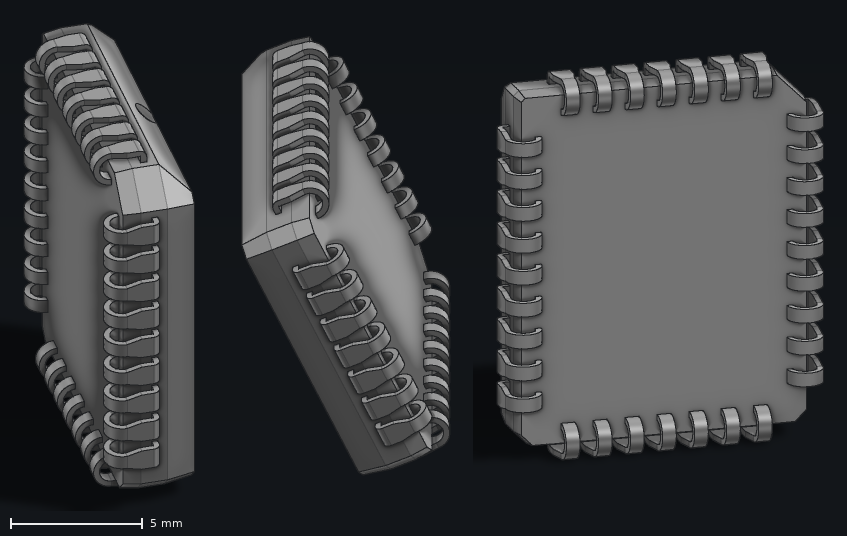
import cadquery as cq
import math


OVERALL_X = 12.58
OVERALL_Z = 15.12
BACK_Y = 3.55

PITCH = 1.27
LEADS_PER_LONG_SIDE = 9
LEADS_PER_SHORT_SIDE = 7
LEAD_REACH = 0.53
LEAD_THICKNESS = 0.24
LEAD_WIDTH = 0.83
FOOT_WIDTH = 0.55
FOOT_RADIUS = 0.71
SHOULDER_RADIUS = 0.3
SHOULDER_Y = 2.05
NARROWING_START_Y = 1.29
ROOT_DEPTH = 0.15

BODY_HALF_X = OVERALL_X / 2 - LEAD_REACH
BODY_HALF_Z = OVERALL_Z / 2 - LEAD_REACH
FRONT_Y = FOOT_RADIUS
WALL_START_Y = 1.4
WALL_END_Y = 2.45
FRONT_INSET = 0.1
BACK_INSET = 0.17
KEY_CHAMFER = 1.24
SMALL_CHAMFER = 0.21
LOWER_CHAMFER = 0.51

BEVEL_DROP = 0.98
DIMPLE_RADIUS = 0.53
DIMPLE_DEPTH = 0.14
DIMPLE_Y = 3.22


def body_outline(inset):
    """Corner points of the body section, offset inwards by the inset."""
    x = BODY_HALF_X - inset
    z = BODY_HALF_Z - inset
    chamfer_loss = inset * (2 - math.sqrt(2))
    key = KEY_CHAMFER - chamfer_loss
    small = SMALL_CHAMFER - chamfer_loss
    lower = LOWER_CHAMFER - chamfer_loss
    return [
        (x - key, z),
        (x, z - key),
        (x, -z + lower),
        (x - lower, -z),
        (-x + lower, -z),
        (-x, -z + lower),
        (-x, z - small),
        (-x + small, z),
    ]


def body_layer(y_start, inset_start, y_end, inset_end):
    """Flat-sided block between two body sections."""
    return (
        cq.Workplane("XZ", origin=(0, y_start, 0))
        .polyline(body_outline(inset_start))
        .close()
        .workplane(offset=y_start - y_end)
        .polyline(body_outline(inset_end))
        .close()
        .loft(ruled=True)
    )


def bevel_cutter():
    """Prism removed from the +Z edge of the back half."""
    return (
        cq.Workplane("YZ")
        .moveTo(WALL_END_Y, BODY_HALF_Z)
        .lineTo(BACK_Y, BODY_HALF_Z - BEVEL_DROP)
        .lineTo(BACK_Y, BODY_HALF_Z)
        .close()
        .extrude(BODY_HALF_X, both=True)
    )


def dimple_cutter():
    """Sphere that leaves a shallow round dimple in the bevel."""
    bevel_run = BACK_Y - WALL_END_Y
    bevel_length = math.hypot(bevel_run, BEVEL_DROP)
    normal_y = BEVEL_DROP / bevel_length
    normal_z = bevel_run / bevel_length
    dimple_z = BODY_HALF_Z - BEVEL_DROP * (DIMPLE_Y - WALL_END_Y) / bevel_run
    sphere_radius = (DIMPLE_RADIUS**2 + DIMPLE_DEPTH**2) / (2 * DIMPLE_DEPTH)
    lift = sphere_radius - DIMPLE_DEPTH
    centre = (0, DIMPLE_Y + lift * normal_y, dimple_z + lift * normal_z)
    return cq.Workplane("XY").sphere(sphere_radius).translate(centre)


def make_body():
    front_half = body_layer(FRONT_Y, FRONT_INSET, WALL_START_Y, 0)
    walls = body_layer(WALL_START_Y, 0, WALL_END_Y, 0)
    back_half = body_layer(WALL_END_Y, 0, BACK_Y, BACK_INSET)
    back_half = back_half.cut(bevel_cutter()).cut(dimple_cutter())
    return walls.union(front_half).union(back_half)


def make_lead():
    """One J lead on the +X side, its body wall at X = 0 and its middle at Z = 0."""
    outer = LEAD_REACH
    inner = outer - LEAD_THICKNESS
    curl_x = outer - FOOT_RADIUS
    inner_radius = FOOT_RADIUS - LEAD_THICKNESS
    side_profile = (
        cq.Workplane("XY")
        .moveTo(-ROOT_DEPTH, SHOULDER_Y)
        .lineTo(outer - SHOULDER_RADIUS, SHOULDER_Y)
        .radiusArc((outer, SHOULDER_Y - SHOULDER_RADIUS), SHOULDER_RADIUS)
        .lineTo(outer, FRONT_Y)
        .threePointArc((curl_x, FRONT_Y - FOOT_RADIUS), (curl_x - FOOT_RADIUS, FRONT_Y))
        .lineTo(curl_x - inner_radius, FRONT_Y)
        .threePointArc((curl_x, FRONT_Y - inner_radius), (inner, FRONT_Y))
        .lineTo(inner, SHOULDER_Y - LEAD_THICKNESS)
        .lineTo(-ROOT_DEPTH, SHOULDER_Y - LEAD_THICKNESS)
        .close()
        .extrude(LEAD_WIDTH / 2, both=True)
    )
    width_outline = (
        cq.Workplane("YZ")
        .polyline([
            (0, -FOOT_WIDTH / 2),
            (FRONT_Y, -FOOT_WIDTH / 2),
            (NARROWING_START_Y, -LEAD_WIDTH / 2),
            (SHOULDER_Y, -LEAD_WIDTH / 2),
            (SHOULDER_Y, LEAD_WIDTH / 2),
            (NARROWING_START_Y, LEAD_WIDTH / 2),
            (FRONT_Y, FOOT_WIDTH / 2),
            (0, FOOT_WIDTH / 2),
        ])
        .close()
        .extrude(2 * FOOT_RADIUS, both=True)
    )
    return side_profile.intersect(width_outline)


def lead_row(lead, count, wall_distance, turn):
    """Evenly spaced leads along one wall, turned about Y to face that wall."""
    leads = []
    for index in range(count):
        along = (index - (count - 1) / 2) * PITCH
        placed = lead.translate((wall_distance, 0, along))
        leads.append(placed.rotate((0, 0, 0), (0, 1, 0), turn))
    return leads


result = make_body()
j_lead = make_lead()
for side_turn in (0, 180):
    long_row = lead_row(j_lead, LEADS_PER_LONG_SIDE, BODY_HALF_X, side_turn)
    short_row = lead_row(j_lead, LEADS_PER_SHORT_SIDE, BODY_HALF_Z, side_turn + 90)
    for placed_lead in long_row + short_row:
        result = result.union(placed_lead)